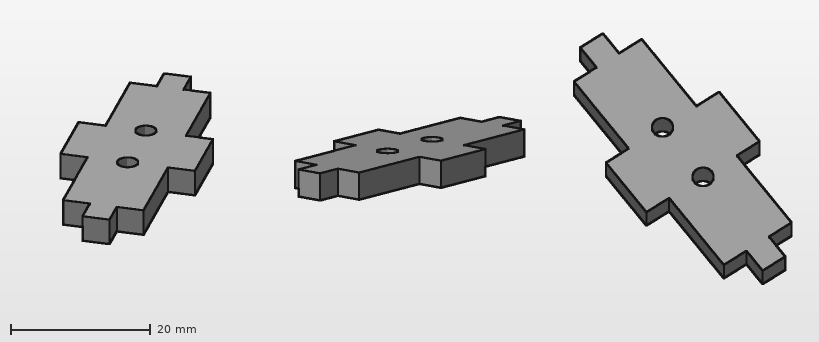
import cadquery as cq

length = 45.0
thickness = 4.0
tab_size = 4.0
arm_span = 20.0
arm_length = 10.0
hole_diameter = 3.0
hole_spacing = 10.0

body_length = length - 2 * tab_size
body_width = arm_span - 2 * tab_size


def plate(size_x, size_y):
    """Rectangular plate centred on the origin."""
    return cq.Workplane("XY").box(size_x, size_y, thickness)


body = plate(body_width, body_length)
side_arms = plate(arm_span, arm_length)
end_tabs = plate(tab_size, length)
outline = body.union(side_arms).union(end_tabs)

result = (
    outline.faces(">Z")
    .workplane(origin=(0, 0, 0))
    .pushPoints([(0, -hole_spacing / 2), (0, hole_spacing / 2)])
    .hole(hole_diameter)
)